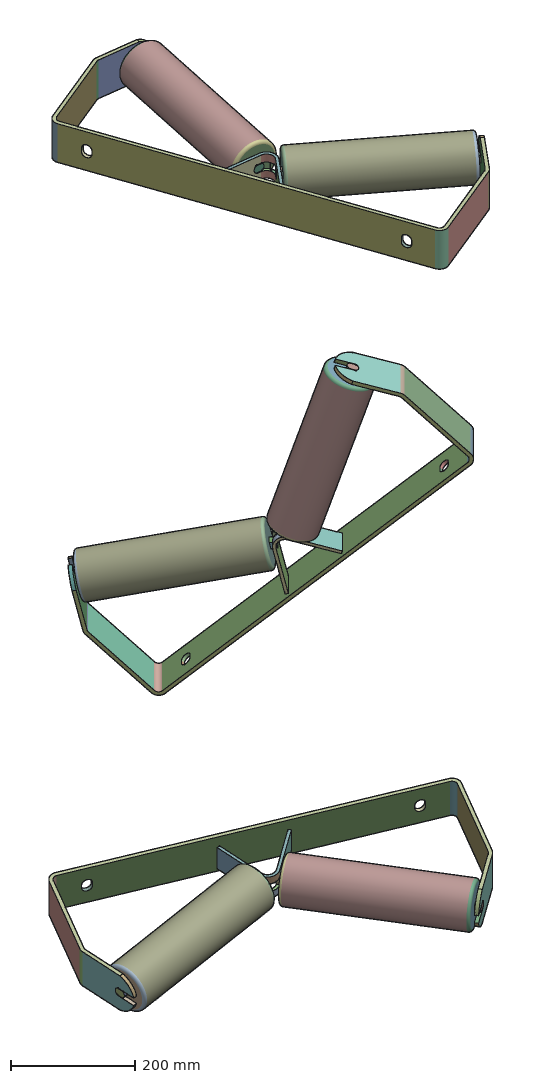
import cadquery as cq
import math

FRAME_WIDTH = 700.0
STRIP_HEIGHT = 80.0
FRAME_THICKNESS = 7.0
FRAME_BEND = 16.0
WALL_HEIGHT = 178.0
FLANGE_LENGTH = 115.5
FLANGE_ANGLE = 60.0
TIP_RADIUS = 41.0

MOUNT_SPACING = 565.5
MOUNT_WIDTH = 18.0
MOUNT_HEIGHT = 26.0

ROLLER_DIAMETER = 89.0
ROLLER_LENGTH = 316.5
ROLLER_FILLET = 5.5
ROLLER_DROP = 6.0
ROLLER_GAP = 4.0

AXLE_DIAMETER = 19.5
AXLE_FLATS = 15.5
AXLE_FROM_TIP = 31.0
SLOT_WIDTH = 17.5
SLOT_OVERCUT = 7.0

BRACKET_THICKNESS = 5.5
BRACKET_BEND = 20.0
BRACKET_HALF_SPAN = 63.0
BRACKET_HEIGHT = 50.0
BRACKET_Z = -ROLLER_DROP

HALF_WIDTH = FRAME_WIDTH / 2
COS = math.cos(math.radians(FLANGE_ANGLE))
SIN = math.sin(math.radians(FLANGE_ANGLE))
TIP_X = -HALF_WIDTH + FLANGE_LENGTH * COS
TIP_Y = WALL_HEIGHT + FLANGE_LENGTH * SIN

AXLE_X = TIP_X - AXLE_FROM_TIP * COS
AXLE_Y = TIP_Y - AXLE_FROM_TIP * SIN

LEG_END_Y = FRAME_THICKNESS + BRACKET_THICKNESS * COS
APEX_Y = LEG_END_Y + BRACKET_HALF_SPAN * SIN / COS

FACE_SPAN = (-BRACKET_HALF_SPAN - TIP_X) * SIN + (TIP_Y - LEG_END_Y) * COS
AXLE_LENGTH = FACE_SPAN + BRACKET_THICKNESS
ROLLER_START = FRAME_THICKNESS + ROLLER_GAP
ROLLER_TILT = math.asin(ROLLER_DROP / ROLLER_LENGTH)

AXLE_PLANE = cq.Plane(
    origin=(AXLE_X, AXLE_Y, 0),
    xDir=(-COS, -SIN, 0),
    normal=(SIN * math.cos(ROLLER_TILT), -COS * math.cos(ROLLER_TILT), -math.sin(ROLLER_TILT)),
)


def bent_strip(points, thickness, bend_radius, height):
    """Strip with its outer face along the points, its body on their left, and rounded bends."""
    headings = [math.atan2(b[1] - a[1], b[0] - a[0]) for a, b in zip(points, points[1:])]
    before = headings[:1] + headings
    after = headings + headings[-1:]
    inner = []
    for (x, y), first, second in zip(points, before, after):
        middle = (first + second) / 2
        miter = thickness / math.cos((second - first) / 2)
        inner.append((x - miter * math.sin(middle), y + miter * math.cos(middle)))
    strip = cq.Workplane("XY").polyline(points + inner[::-1]).close().extrude(height / 2, both=True)
    for corners, radius in ((points, bend_radius), (inner, bend_radius - thickness)):
        for x, y in corners[1:-1]:
            strip = strip.edges("|Z").edges(cq.NearestToPointSelector((x, y, 0))).fillet(radius)
    return strip


def mirrored(body):
    """The same shape on the other side of X = 0."""
    return body.mirror("YZ")


def flatted_round(plane, height, length):
    """Bar of the axle's diameter between two flats the given height apart."""
    round_bar = plane.circle(AXLE_DIAMETER / 2).extrude(length)
    flat_bar = plane.rect(AXLE_DIAMETER, height).extrude(length)
    return round_bar.intersect(flat_bar)


def axle_slot():
    """Cutter for the left axle: the axle's round with a channel open up the flange."""
    channel_length = 2 * AXLE_FROM_TIP
    start = cq.Workplane(AXLE_PLANE).workplane(offset=-SLOT_OVERCUT)
    length = AXLE_LENGTH + 2 * SLOT_OVERCUT
    channel = start.center(-channel_length / 2, 0).rect(channel_length, SLOT_WIDTH).extrude(length)
    return channel.union(flatted_round(start, SLOT_WIDTH, length))


def flange_tip_trim():
    """Material outside the rounded tip of the left flange."""
    plane = cq.Plane(origin=(TIP_X, TIP_Y, 0), xDir=(COS, SIN, 0), normal=(SIN, -COS, 0))
    depth = 2 * FRAME_THICKNESS
    face = cq.Workplane(plane)
    block = face.center(-TIP_RADIUS / 2, 0).rect(TIP_RADIUS, 2 * STRIP_HEIGHT).extrude(depth, both=True)
    disc = face.center(-TIP_RADIUS, 0).circle(TIP_RADIUS).extrude(depth, both=True)
    return block.cut(disc)


def make_frame():
    left = [(TIP_X, TIP_Y), (-HALF_WIDTH, WALL_HEIGHT), (-HALF_WIDTH, 0)]
    right = [(-x, y) for x, y in reversed(left)]
    frame = bent_strip(left + right, FRAME_THICKNESS, FRAME_BEND, STRIP_HEIGHT)
    for cutter in (flange_tip_trim(), axle_slot()):
        frame = frame.cut(cutter).cut(mirrored(cutter))
    mounts = (
        cq.Workplane("XZ")
        .pushPoints([(-MOUNT_SPACING / 2, 0), (MOUNT_SPACING / 2, 0)])
        .slot2D(MOUNT_HEIGHT, MOUNT_WIDTH, 90)
        .extrude(-2 * FRAME_THICKNESS)
    )
    return frame.cut(mounts)


def make_bracket():
    legs = [(BRACKET_HALF_SPAN, LEG_END_Y), (0, APEX_Y), (-BRACKET_HALF_SPAN, LEG_END_Y)]
    bracket = bent_strip(legs, BRACKET_THICKNESS, BRACKET_BEND, BRACKET_HEIGHT)
    bracket = bracket.translate((0, 0, BRACKET_Z))
    slot = axle_slot()
    return bracket.cut(slot).cut(mirrored(slot))


def make_roller(on_right):
    """Roller with its axle, on the left or the right of the bracket."""
    drum = (
        cq.Workplane(AXLE_PLANE)
        .workplane(offset=ROLLER_START)
        .circle(ROLLER_DIAMETER / 2)
        .extrude(ROLLER_LENGTH)
        .edges()
        .fillet(ROLLER_FILLET)
    )
    axle = flatted_round(cq.Workplane(AXLE_PLANE), AXLE_FLATS, AXLE_LENGTH)
    roller = drum.union(axle)
    return mirrored(roller) if on_right else roller


frame = make_frame()
bracket = make_bracket()
rollers = [make_roller(on_right) for on_right in (False, True)]

result = cq.Compound.makeCompound([frame.val(), bracket.val(), *(roller.val() for roller in rollers)])